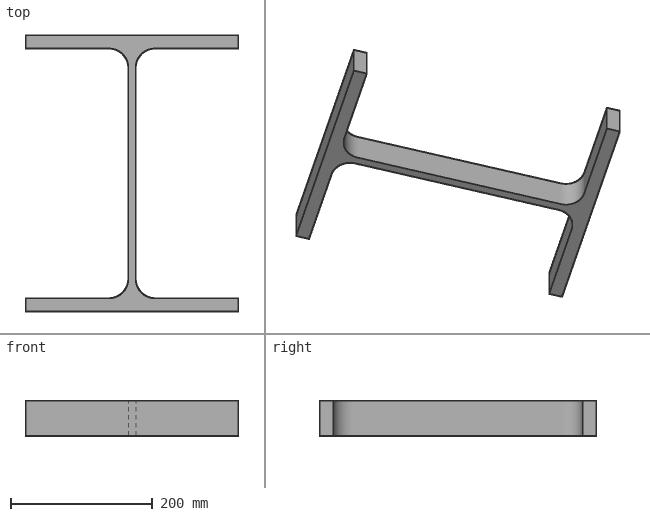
import cadquery as cq

section_depth = 390.0
flange_width = 300.0
length = 50.0
flange_thickness = 19.0
web_thickness = 11.0
root_radius = 27.0

flange_offset = (section_depth - flange_thickness) / 2

beam = cq.Workplane("XY").box(web_thickness, section_depth, length)

for side in (-1, 1):
    flange = (
        cq.Workplane("XY")
        .center(0, side * flange_offset)
        .rect(flange_width, flange_thickness)
        .extrude(length / 2, both=True)
    )
    beam = beam.union(flange)

root_corners = cq.selectors.BoxSelector(
    (-web_thickness, -flange_offset, -length),
    (web_thickness, flange_offset, length),
)
result = beam.edges("|Z").edges(root_corners).fillet(root_radius)